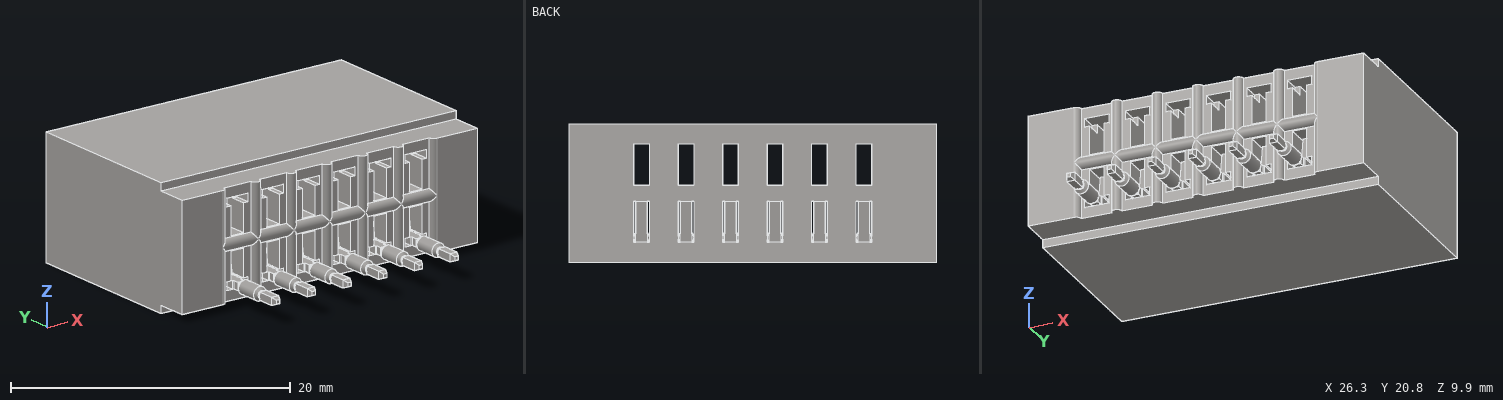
import cadquery as cq
import math

housing_width = 26.3
housing_length = 16.33
housing_height = 9.9
nose_length = 2.55
nose_step = 0.63

position_count = 6
recess_width = 19.05
pitch = recess_width / position_count
pin_axis_z = -3.18

recess_depth = 0.4
mid_rib_height = 1.0

slot_width = 1.1
slot_inner_z = 0.58
slot_outer_z = 3.5
notch_width = 1.9
notch_height = 0.65
notch_depth = 1.31

lead_size = 0.63
neck_radius = lead_size / 2
collar_radius = 0.55
rear_neck_start = 0.08
neck_length = 0.13
collar_taper = collar_radius - neck_radius
collar_length = 1.85
lead_tip_start = 4.13
pin_reach = 4.5
tip_size = 0.32

blade_width = 0.85
blade_thickness = 0.25
blade_bend_y = 1.58
blade_angle = 9.0
blade_top_z = -slot_inner_z

nose_height = housing_height - 2 * nose_step
position_xs = [(i - (position_count - 1) / 2) * pitch for i in range(position_count)]


def block(x_size, y_start, y_end, z_start, z_end, x_center=0.0):
    """Box centred on x_center, between the given Y and Z limits."""
    return (
        cq.Workplane("XY")
        .box(x_size, y_end - y_start, z_end - z_start, centered=(True, False, False))
        .translate((x_center, y_start, z_start))
    )


def make_shell():
    """Stepped body with the wide shallow recess across its nose."""
    main = block(housing_width, nose_length, housing_length, -housing_height / 2, housing_height / 2)
    nose = block(housing_width, 0, nose_length, -nose_height / 2, nose_height / 2)
    recess = block(recess_width, 0, recess_depth, -nose_height / 2, nose_height / 2)
    return main.union(nose).cut(recess)


def make_upright_ribs():
    """Half-round ribs between positions; those on the recess ends merge into its walls."""
    ribs = cq.Workplane("XY")
    for i in range(position_count + 1):
        x = i * pitch - recess_width / 2
        rib = (
            cq.Workplane("XY", origin=(x, recess_depth, -nose_height / 2))
            .moveTo(-recess_depth, 0)
            .threePointArc((0, -recess_depth), (recess_depth, 0))
            .close()
            .extrude(nose_height)
        )
        ribs = ribs.add(rib)
    return ribs.combine()


def make_mid_rib():
    """Rounded rib along the recess at mid height."""
    return (
        cq.Workplane("YZ", origin=(-recess_width / 2, 0, 0))
        .moveTo(recess_depth, -mid_rib_height / 2)
        .threePointArc((0, 0), (recess_depth, mid_rib_height / 2))
        .close()
        .extrude(recess_width)
    )


def make_slot(x, side):
    """Through slot with its widened end, above (side = 1) or below (side = -1) the mid-plane."""
    slot_z = sorted((side * slot_inner_z, side * slot_outer_z))
    notch_z = sorted((side * (slot_outer_z - notch_height), side * slot_outer_z))
    slot = block(slot_width, 0, housing_length, *slot_z, x_center=x)
    notch = block(notch_width, 0, recess_depth + notch_depth, *notch_z, x_center=x)
    return slot.union(notch)


def make_housing():
    housing = make_shell().union(make_upright_ribs()).union(make_mid_rib())
    for x in position_xs:
        for side in (-1, 1):
            housing = housing.cut(make_slot(x, side))
    return housing


def make_collar():
    """Round collar with tapered ends and a short round neck on each side."""
    collar_start = rear_neck_start + neck_length
    full_start = collar_start + collar_taper
    full_end = full_start + collar_length
    collar_end = full_end + collar_taper
    front_neck_end = collar_end + neck_length
    profile = [
        (0, -rear_neck_start),
        (neck_radius, -rear_neck_start),
        (neck_radius, -collar_start),
        (collar_radius, -full_start),
        (collar_radius, -full_end),
        (neck_radius, -collar_end),
        (neck_radius, -front_neck_end),
        (0, -front_neck_end),
    ]
    collar = cq.Workplane("XY").polyline(profile).close().revolve(360, (0, 0), (0, 1))
    return collar, front_neck_end


def make_lead(front_neck_end):
    """Square lead in front of the collar, with a tapered tip."""
    shank = block(lead_size, -lead_tip_start, -front_neck_end, -lead_size / 2, lead_size / 2)
    tip_length = pin_reach - lead_tip_start
    tip_taper = math.degrees(math.atan((lead_size - tip_size) / 2 / tip_length))
    return shank.faces("<Y").workplane().rect(lead_size, lead_size).extrude(tip_length, taper=tip_taper)


def make_blade():
    """Square stub behind the collar, widening into a root that turns up as the leaning blade."""
    bottom_z = -lead_size / 2
    top_z = blade_top_z - pin_axis_z
    lean = math.tan(math.radians(blade_angle))
    y_bottom = blade_bend_y - lean * lead_size
    y_top = blade_bend_y + lean * (top_z - lead_size / 2)
    stub = block(lead_size, -rear_neck_start, recess_depth, bottom_z, lead_size / 2)
    root = block(blade_width, recess_depth, blade_bend_y, bottom_z, lead_size / 2)
    blade_profile = [
        (y_bottom, bottom_z),
        (y_top, top_z),
        (y_top + blade_thickness, top_z),
        (y_bottom + blade_thickness, bottom_z),
    ]
    blade = (
        cq.Workplane("YZ", origin=(-blade_width / 2, 0, 0))
        .polyline(blade_profile)
        .close()
        .extrude(blade_width)
    )
    return stub.union(root).union(blade)


def make_contact(x):
    collar, front_neck_end = make_collar()
    contact = collar.union(make_lead(front_neck_end)).union(make_blade())
    return contact.translate((x, 0, pin_axis_z))


housing = make_housing()
contacts = [make_contact(x) for x in position_xs]

result = cq.Compound.makeCompound([housing.val(), *[contact.val() for contact in contacts]])